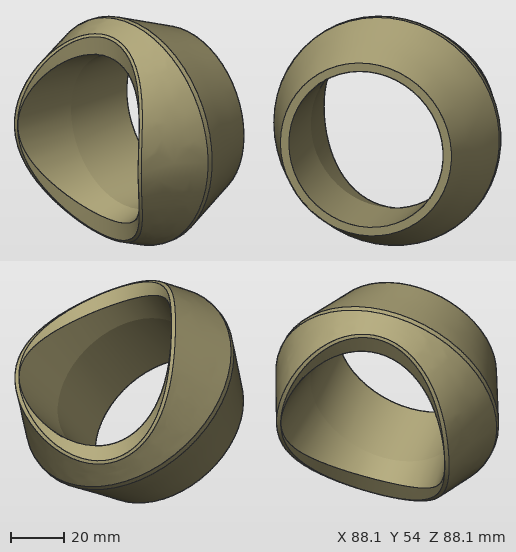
import cadquery as cq
import math


length = 54.04
outer_radius = 88.11 / 2
bore_radius = 30.1

weld_end_radius = 33.4
band_start = 26.6
band_width = 2.1
band_y = -(band_start + band_width)

horn_y = -length
rim_outer_horn_radius = 34.4
rim_outer_crown_y = -37.4
rim_inner_horn_radius = 32.7
rim_inner_crown_radius = 39.8
rim_inner_crown_y = -38.2
mouth_radius = 32.6

loop_points = 72


def arc_radius(half_width, rise):
    """Radius of the arc with the given half chord and rise."""
    return (half_width ** 2 + rise ** 2) / (2 * rise)


def cone_slope(radius_a, y_a, radius_b, y_b):
    """Change of cone radius per unit of y."""
    return (radius_b - radius_a) / (y_b - y_a)


def closed_curve(point_at):
    """Smooth closed edge through points taken at even angles around the Y axis."""
    angles = [2 * math.pi * i / loop_points for i in range(loop_points)]
    points = [cq.Vector(*point_at(angle)) for angle in angles]
    parameters = angles + [2 * math.pi]
    return cq.Edge.makeSpline(points, periodic=True, parameters=parameters)


def circle_curve(radius, y):
    """Circle around the Y axis, starting at +X and turning towards +Z like the other curves."""
    circle = cq.Workplane("XZ", origin=(0, y, 0)).circle(radius)
    return circle.edges().val()


def saddle_curve(horn_radius, slope, pipe_radius, crown_y):
    """Intersection of a cone around Y with a pipe along Z whose top is at crown_y."""
    pipe_y = crown_y - pipe_radius
    radius_at_zero = horn_radius - slope * horn_y

    def point_at(angle):
        cosine_squared = math.cos(angle) ** 2
        a = 1 + slope ** 2 * cosine_squared
        b = 2 * (radius_at_zero * slope * cosine_squared - pipe_y)
        c = radius_at_zero ** 2 * cosine_squared + pipe_y ** 2 - pipe_radius ** 2
        y = (-b + math.sqrt(b ** 2 - 4 * a * c)) / (2 * a)
        radius = radius_at_zero + slope * y
        return radius * math.cos(angle), y, radius * math.sin(angle)

    return closed_curve(point_at)


def make_rear_ring():
    """Weld end cone and widest band, with the straight bore."""
    profile = [
        (bore_radius, 0),
        (weld_end_radius, 0),
        (outer_radius, -band_start),
        (outer_radius, band_y),
        (bore_radius, band_y),
    ]
    return cq.Workplane("XY").polyline(profile).close().revolve(360, (0, 0, 0), (0, 1, 0))


def make_saddle_ring():
    """Front cone, narrow rim, saddle face and flared bore, each ruled between two closed curves."""
    outer_slope = cone_slope(rim_outer_horn_radius, horn_y, outer_radius, band_y)
    inner_slope = cone_slope(rim_inner_horn_radius, horn_y, rim_inner_crown_radius, rim_inner_crown_y)
    outer_pipe_radius = arc_radius(rim_outer_horn_radius, rim_outer_crown_y - horn_y)
    inner_pipe_radius = arc_radius(rim_inner_horn_radius, rim_inner_crown_y - horn_y)
    curves = [
        circle_curve(outer_radius, band_y),
        saddle_curve(rim_outer_horn_radius, outer_slope, outer_pipe_radius, rim_outer_crown_y),
        saddle_curve(rim_inner_horn_radius, inner_slope, inner_pipe_radius, rim_inner_crown_y),
        saddle_curve(mouth_radius, 0, inner_pipe_radius, rim_inner_crown_y),
        circle_curve(bore_radius, band_y),
    ]
    faces = [cq.Face.makeRuledSurface(first, second) for first, second in zip(curves, curves[1:])]
    outer_wire = cq.Wire.assembleEdges([curves[0]])
    bore_wire = cq.Wire.assembleEdges([curves[-1]])
    faces.append(cq.Face.makeFromWires(outer_wire, [bore_wire]))
    return cq.Workplane(cq.Solid.makeSolid(cq.Shell.makeShell(faces)))


result = make_rear_ring().union(make_saddle_ring())